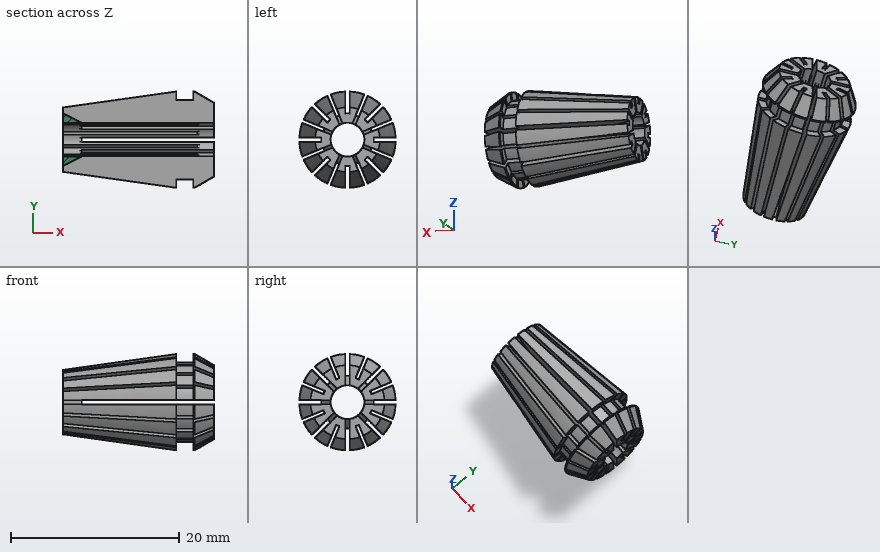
import cadquery as cq
import math

length = 18.0
flange_diameter = 11.5
bore_diameter = 4.0
main_taper_length = 13.5
main_taper_angle = 8.0
groove_width = 2.0
groove_radius = 4.75
rim_width = 0.17
nose_angle = 30.0

slots_per_end = 8
slot_pitch = 360.0 / slots_per_end
nose_slot_width = 0.5
small_end_slot_width = 0.4
nose_slot_web_radius = 3.15
small_end_slot_web_radius = 3.03
web_angle = 27.0

overcut = 1.0

flange_radius = flange_diameter / 2
bore_radius = bore_diameter / 2
groove_end = main_taper_length + groove_width
nose_start = groove_end + rim_width
small_end_radius = flange_radius - main_taper_length * math.tan(math.radians(main_taper_angle))
nose_end_radius = flange_radius - (length - nose_start) * math.tan(math.radians(nose_angle))


def make_body():
    """Tapered sleeve with a nut groove and a chamfered nose."""
    profile = [
        (0, bore_radius),
        (0, small_end_radius),
        (main_taper_length, flange_radius),
        (main_taper_length, groove_radius),
        (groove_end, groove_radius),
        (groove_end, flange_radius),
        (nose_start, flange_radius),
        (length, nose_end_radius),
        (length, bore_radius),
    ]
    return cq.Workplane("XY").polyline(profile).close().revolve(360, (0, 0, 0), (1, 0, 0))


def slot_cutter(width, web_radius):
    """Slot open at x = length, over a web that slopes from web_radius at x = 0 down to the bore."""
    web_length = (web_radius - bore_radius) / math.tan(math.radians(web_angle))
    outer_radius = flange_radius + overcut
    profile = [
        (-overcut, web_radius),
        (0, web_radius),
        (web_length, bore_radius),
        (web_length, 0),
        (length + overcut, 0),
        (length + overcut, outer_radius),
        (-overcut, outer_radius),
    ]
    return cq.Workplane("XY").polyline(profile).close().extrude(width / 2, both=True)


def cut_slots(body, cutter, first_angle):
    """Cut one ring of equally spaced slots around the X axis."""
    for index in range(slots_per_end):
        angle = first_angle + index * slot_pitch
        body = body.cut(cutter.rotate((0, 0, 0), (1, 0, 0), angle))
    return body


nose_slot = slot_cutter(nose_slot_width, nose_slot_web_radius)
small_end_slot = slot_cutter(small_end_slot_width, small_end_slot_web_radius)
small_end_slot = small_end_slot.mirror("YZ", (length / 2, 0, 0))

result = make_body()
result = cut_slots(result, nose_slot, 0)
result = cut_slots(result, small_end_slot, slot_pitch / 2)